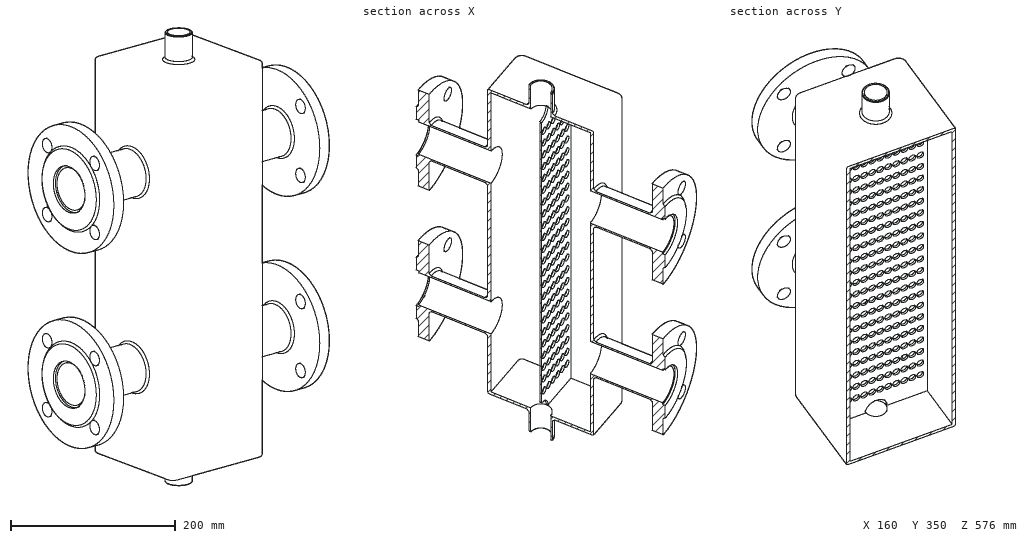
import cadquery as cq

total_height = 576.0
port_span = 350.0
port_offset = 125.0

box_side = 150.0
box_height = 506.0
corner_radius = 10.5
end_fillet = 3.0
wall = 5.0
inner_side = box_side - 2 * wall
inner_height = box_height - 2 * wall

plate_thickness = 3.0
perforation_diameter = 9.0
perforation_pitch_x = 11.0
perforation_pitch_z = 19.5
perforation_columns = 12
perforation_rows = 23
perforation_shift_z = -0.85
notch_diameter = 30.0

stub_diameter = 33.5
stub_bore = 27.5
stub_chamfer = 0.85

pipe_diameter = 60.0
pipe_bore = 53.0
flange_diameter = 160.0
flange_thickness = 15.5
face_diameter = 107.0
face_height = 3.0
face_chamfer = 3.0
bolt_hole_diameter = 18.0
bolt_circle = 125.0
bolt_count = 4
first_bolt_angle = 45
mouth_diameter = 59.0
mouth_depth = 3.5

weld_size = 3.0

sink = wall / 2


def revolve_about_z(points):
    """Turn a closed outline of (radius, height) points about the Z axis."""
    return cq.Workplane("XZ").polyline(points).close().revolve(360, (0, 0), (0, 1))


def make_box():
    box = cq.Workplane("XY").box(box_side, box_side, box_height)
    box = box.edges("|Z").fillet(corner_radius)
    return box.faces("<Z or >Z").edges().fillet(end_fillet)


def make_cavity():
    cavity = cq.Workplane("XY").box(inner_side, inner_side, inner_height)
    return cavity.edges("|Z").fillet(corner_radius - wall)


def make_plate():
    """Perforated plate with a round notch below each stub."""
    plate = cq.Workplane("XZ").rect(inner_side + 2 * sink, inner_height + 2 * sink)
    plate = plate.extrude(plate_thickness / 2, both=True)

    holes = cq.Workplane("XZ").center(0, perforation_shift_z)
    holes = holes.rarray(perforation_pitch_x, perforation_pitch_z, perforation_columns, perforation_rows)
    holes = holes.circle(perforation_diameter / 2).extrude(plate_thickness, both=True)

    notches = cq.Workplane("XZ").pushPoints([(0, inner_height / 2), (0, -inner_height / 2)])
    notches = notches.circle(notch_diameter / 2).extrude(plate_thickness, both=True)
    return plate.cut(holes).cut(notches)


def make_stub():
    """Upper stub with its weld, still solid."""
    radius = stub_diameter / 2
    base = box_height / 2
    tip = total_height / 2
    outline = [
        (0, base - sink),
        (radius + weld_size, base - sink),
        (radius + weld_size, base),
        (radius, base + weld_size),
        (radius, tip - stub_chamfer),
        (radius - stub_chamfer, tip),
        (0, tip),
    ]
    return revolve_about_z(outline)


def make_stub_bore():
    start = inner_height / 2
    bore = cq.Workplane("XY").workplane(offset=start).circle(stub_bore / 2)
    return bore.extrude(total_height / 2 - start)


def make_port():
    """Pipe, flange and welds of one port standing along Z, still without its bore."""
    radius = pipe_diameter / 2
    base = box_side / 2
    face = port_span / 2
    flange_front = face - face_height
    flange_back = flange_front - flange_thickness
    outline = [
        (0, base - sink),
        (radius + weld_size, base - sink),
        (radius + weld_size, base),
        (radius, base + weld_size),
        (radius, flange_back - weld_size),
        (radius + weld_size, flange_back),
        (flange_diameter / 2, flange_back),
        (flange_diameter / 2, flange_front),
        (face_diameter / 2, flange_front),
        (face_diameter / 2 - face_chamfer, face),
        (0, face),
    ]
    bolts = cq.Workplane("XY").workplane(offset=flange_back)
    bolts = bolts.polarArray(bolt_circle / 2, first_bolt_angle, 360, bolt_count)
    bolts = bolts.circle(bolt_hole_diameter / 2).extrude(flange_thickness + face_height)
    return revolve_about_z(outline).cut(bolts)


def make_port_bore():
    """Pipe bore from the cavity outwards, with a shallow wider mouth in the flange face."""
    start = inner_side / 2
    face = port_span / 2
    outline = [
        (0, start),
        (pipe_bore / 2, start),
        (pipe_bore / 2, face - mouth_depth),
        (mouth_diameter / 2, face - mouth_depth),
        (mouth_diameter / 2, face),
        (0, face),
    ]
    return revolve_about_z(outline)


def on_both_ends(shape):
    return [shape, shape.mirror("XY")]


def on_all_ports(shape):
    """Lay a shape that stands along Z onto the four port positions."""
    front = shape.rotate((0, 0, 0), (1, 0, 0), 90)
    back = front.mirror("XZ")
    heights = (port_offset, -port_offset)
    return [side.translate((0, 0, height)) for side in (front, back) for height in heights]


result = make_box()
for fitting in on_both_ends(make_stub()) + on_all_ports(make_port()):
    result = result.union(fitting)

result = result.cut(make_cavity())
for bore in on_both_ends(make_stub_bore()) + on_all_ports(make_port_bore()):
    result = result.cut(bore)
result = result.union(make_plate())